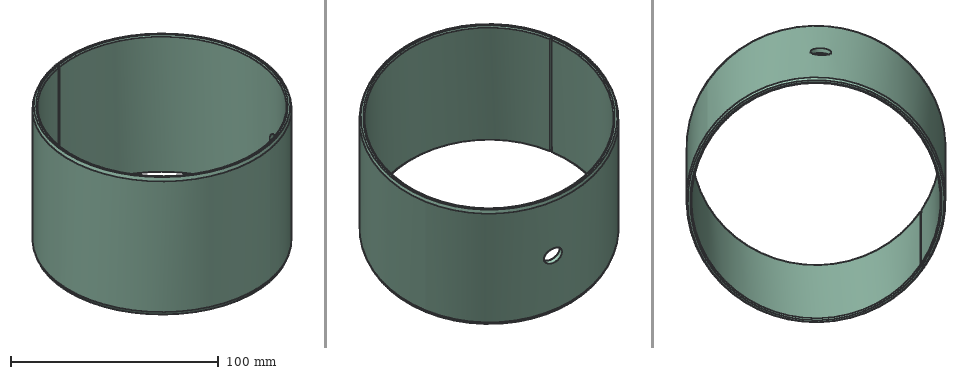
import cadquery as cq
import math

outer_diameter = 125.0
wall = 2.5
height = 80.0
outer_chamfer_height = 2.0
outer_chamfer_angle = 20.0
inner_chamfer = 0.8
slit_width = 1.0
slit_center_y = 0.5
hole_diameter = 10.0
hole_angle = 59.0
hole_height = height / 2

outer_radius = outer_diameter / 2
inner_radius = outer_radius - wall
outer_chamfer_radial = outer_chamfer_height * math.tan(math.radians(outer_chamfer_angle))
slit_cut_depth = 4 * wall


def bushing_shell():
    """Thin sleeve revolved about Z, with chamfered ends inside and out."""
    profile = [
        (inner_radius, inner_chamfer),
        (inner_radius + inner_chamfer, 0),
        (outer_radius - outer_chamfer_radial, 0),
        (outer_radius, outer_chamfer_height),
        (outer_radius, height - outer_chamfer_height),
        (outer_radius - outer_chamfer_radial, height),
        (inner_radius + inner_chamfer, height),
        (inner_radius, height - inner_chamfer),
    ]
    return cq.Workplane("XZ").polyline(profile).close().revolve(360, (0, 0), (0, 1))


def slit():
    """Full-height split through the wall on the -X side."""
    return (
        cq.Workplane("XY")
        .center(-outer_radius, slit_center_y)
        .rect(slit_cut_depth, slit_width)
        .extrude(height)
    )


def radial_hole():
    """Round hole through one side of the wall."""
    return (
        cq.Workplane("YZ")
        .center(0, hole_height)
        .circle(hole_diameter / 2)
        .extrude(outer_diameter)
        .rotate((0, 0, 0), (0, 0, 1), hole_angle)
    )


result = bushing_shell().cut(slit()).cut(radial_hole())